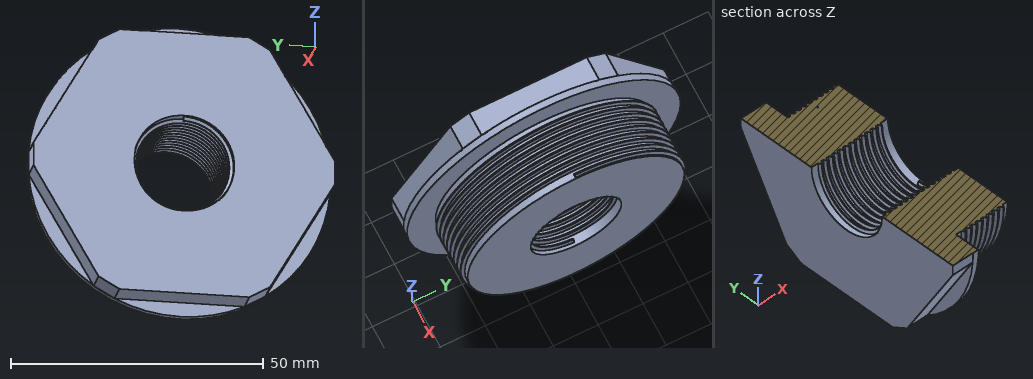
import cadquery as cq
import math

flange_diameter = 60.9
across_flats = 55.0
head_length = 5.5
flange_thickness = 1.5
spigot_length = 14.0
total_length = head_length + flange_thickness + spigot_length
spigot_start = head_length + flange_thickness

spigot_diameter = 48.25
bore_diameter = 20.15

outer_thread_travel = 12.7
outer_thread_turns = 8.5
thread_pitch = outer_thread_travel / outer_thread_turns
ridge_height = 0.75
ridge_base_width = 1.0
ridge_crest_width = 0.2
ridge_embed = 0.1

outer_thread_runout = 0.7
outer_thread_start = spigot_start + outer_thread_runout
inner_thread_start = 1.1
inner_thread_turns = 12.5


def cylinder(diameter, start, length):
    """Solid cylinder on the X axis, beginning at X = start."""
    return cq.Workplane("YZ", origin=(start, 0, 0)).circle(diameter / 2).extrude(length)


def hexagon_head():
    """Hexagon with flats facing up and down, its corners cut flat where it meets the flange rim."""
    flat_radius = across_flats / 2
    rim_radius = flange_diameter / 2
    half_sweep = math.acos(flat_radius / rim_radius)
    outline = []
    for side in range(6):
        flat_angle = math.pi / 2 + side * math.pi / 3
        for angle in (flat_angle - half_sweep, flat_angle + half_sweep):
            outline.append((rim_radius * math.cos(angle), rim_radius * math.sin(angle)))
    return cq.Workplane("YZ").polyline(outline).close().extrude(head_length)


def thread_ridge(wall_radius, direction, start, turns):
    """Right-hand helical ridge on a wall; direction is +1 for outward, -1 for inward."""
    root_radius = wall_radius - direction * ridge_embed
    crest_radius = wall_radius + direction * ridge_height
    helix = cq.Wire.makeHelix(thread_pitch, turns * thread_pitch, wall_radius)
    ridge = (
        cq.Workplane("XZ")
        .moveTo(root_radius, -ridge_base_width / 2)
        .lineTo(crest_radius, -ridge_crest_width / 2)
        .lineTo(crest_radius, ridge_crest_width / 2)
        .lineTo(root_radius, ridge_base_width / 2)
        .close()
        .sweep(cq.Workplane(helix), isFrenet=True)
    )
    return ridge.rotate((0, 0, 0), (0, 1, 0), 90).translate((start, 0, 0))


head = hexagon_head()
flange = cylinder(flange_diameter, head_length, flange_thickness)
spigot = cylinder(spigot_diameter, spigot_start, spigot_length)
bore = cylinder(bore_diameter, 0, total_length)
outer_ridge = thread_ridge(spigot_diameter / 2, 1, outer_thread_start, outer_thread_turns)
inner_ridge = thread_ridge(bore_diameter / 2, -1, inner_thread_start, inner_thread_turns)
inner_ridge = inner_ridge.rotate((0, 0, 0), (1, 0, 0), 180)

body = head.union(flange).union(spigot).cut(bore)
result = body.union(outer_ridge).union(inner_ridge)